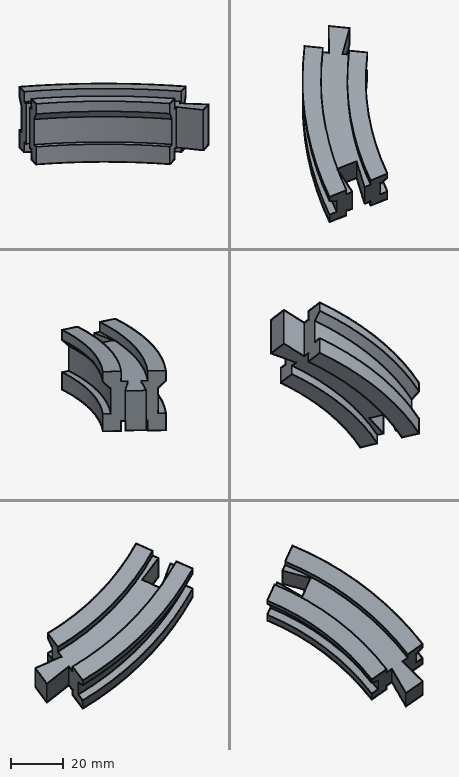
import cadquery as cq
import math

track_width = 24.0
track_height = 24.0
centre_radius = 110.0
sweep_angle = 30.0

channel_width = 10.0
channel_depth = 4.0

recess_depth = 3.0
recess_bottom = 7.0
recess_slope_start = 17.0
recess_top = 20.0

joint_length = 11.0
tab_neck_width = 5.0
tab_tip_width = 8.0
socket_mouth_width = 5.0
socket_floor_width = 8.0

centre_x = track_width / 2
curve_axis_x = centre_x + centre_radius
web_bottom = channel_depth
web_top = track_height - channel_depth


def make_track_body():
    """Revolve the track cross-section, symmetric about its centre plane."""
    half_channel = channel_width / 2
    half_width = track_width / 2
    half_waist = half_width - recess_depth
    right_half = [
        (half_channel, web_bottom),
        (half_channel, 0),
        (half_width, 0),
        (half_width, recess_bottom),
        (half_waist, recess_bottom),
        (half_waist, recess_slope_start),
        (half_width, recess_top),
        (half_width, track_height),
        (half_channel, track_height),
        (half_channel, web_top),
    ]
    left_half = [(-offset, z) for offset, z in reversed(right_half)]
    outline = [(centre_x + offset, z) for offset, z in right_half + left_half]
    return (
        cq.Workplane("XZ")
        .polyline(outline)
        .close()
        .revolve(sweep_angle, (curve_axis_x, track_height), (curve_axis_x, 0))
    )


def make_dovetail(narrow_width, wide_width, bottom, top):
    """Dovetail prism widening toward +Y, its narrow end centred on the near end of the track."""
    return (
        cq.Workplane("XY", origin=(centre_x, 0, bottom))
        .polyline([
            (-narrow_width / 2, 0),
            (narrow_width / 2, 0),
            (wide_width / 2, joint_length),
            (-wide_width / 2, joint_length),
        ])
        .close()
        .extrude(top - bottom)
    )


def make_tab():
    """Dovetail tab carried around the curve to the far end of the track."""
    tab = make_dovetail(tab_neck_width, tab_tip_width, web_bottom, web_top)
    return tab.rotate((curve_axis_x, 0, 0), (curve_axis_x, 0, 1), -sweep_angle)


socket = make_dovetail(socket_mouth_width, socket_floor_width, 0, track_height)
result = make_track_body().cut(socket).union(make_tab())